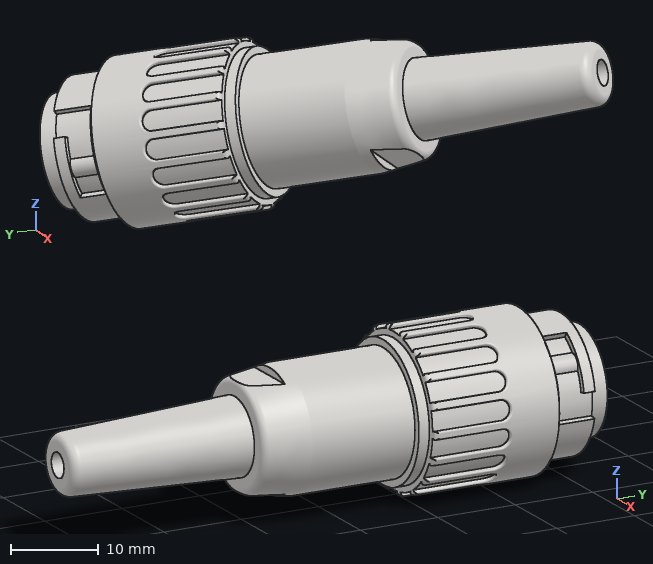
import cadquery as cq
import math

length = 67.4

plug_diameter = 13.5
plug_end = 2.5
bayonet_diameter = 17.0
bayonet_end = 7.95
collar_diameter = 20.0
collar_end = 24.05
collar_rim_fillet = 0.55
ring_diameter = 17.4
ring_end = 25.4
barrel_diameter = 15.5
barrel_end = 38.6
cap_end_diameter = 13.75
cap_end = 44.55
cap_fillet = 1.0
boot_base_diameter = 9.6
boot_tip_diameter = 7.55
boot_fillet = 1.2

flats_width = 13.15
flats_start = 40.05

cable_hole_diameter = 3.0
cable_hole_depth = 6.75

pocket_count = 18
pocket_first_angle = 2.0
pocket_start = 14.1
pocket_width = 2.4
pocket_floor_diameter = collar_diameter - 2 * collar_rim_fillet
pocket_edge_fillet = 0.2

slot_count = 2
slot_floor_diameter = 15.5
slot_track_start = 3.9
slot_track_end = 7.15
slot_upper_angle = -13.3
slot_entry_angle = 9.2
slot_lower_angle = 60.8

rib_diameter = 2.8
rib_center_radius = 6.8
rib_angle = 35.9


def cylinder(diameter, start, end):
    """Solid cylinder on the Y axis between two distances from the plug face."""
    base = cq.Workplane("XZ", origin=(0, -start, 0))
    return base.circle(diameter / 2).extrude(end - start)


def cone(start_diameter, end_diameter, start, end):
    """Solid tapered section on the Y axis between two distances from the plug face."""
    outline = [
        (0, -start),
        (start_diameter / 2, -start),
        (end_diameter / 2, -end),
        (0, -end),
    ]
    return cq.Workplane("XY").polyline(outline).close().revolve(360, (0, 0), (0, 1))


def make_collar():
    """Knurled collar with a rounded rim and grip pockets that run out through the rim."""
    collar = cylinder(collar_diameter, bayonet_end, collar_end).cut(make_pockets())
    collar = collar.newObject(pocket_top_edges(collar)).fillet(pocket_edge_fillet)
    rounded = cylinder(collar_diameter, bayonet_end, collar_end)
    return collar.intersect(rounded.faces("<Y").edges().fillet(collar_rim_fillet))


def pocket_top_edges(collar):
    """Edges where the pocket walls meet the outside of the collar, leaving out both end faces."""
    tolerance = 0.01
    top_edges = []
    for edge in collar.edges().vals():
        middle = edge.positionAt(0.5)
        on_outside = math.hypot(middle.x, middle.z) > collar_diameter / 2 - tolerance
        between_ends = bayonet_end + tolerance < -middle.y < collar_end - tolerance
        if on_outside and between_ends:
            top_edges.append(edge)
    return top_edges


def make_pockets():
    """Ring of round-ended pockets with a floor concentric with the collar."""
    half_width = pocket_width / 2
    arc_center = -(pocket_start + half_width)
    run_out = -(collar_end + pocket_width)
    outline = (
        cq.Workplane("XY")
        .moveTo(-half_width, run_out)
        .lineTo(-half_width, arc_center)
        .threePointArc((0, -pocket_start), (half_width, arc_center))
        .lineTo(half_width, run_out)
        .close()
    )
    pocket = outline.extrude(collar_diameter)
    pocket = pocket.cut(cylinder(pocket_floor_diameter, pocket_start, -run_out))
    pockets = cq.Workplane("XY")
    for index in range(pocket_count):
        angle = pocket_first_angle + index * 360 / pocket_count
        pockets = pockets.add(pocket.rotate((0, 0, 0), (0, 1, 0), angle))
    return pockets.combine()


def make_cap():
    """Tapered cap with a rounded end and two parallel wrench flats."""
    cap = cone(barrel_diameter, cap_end_diameter, barrel_end, cap_end)
    cap = cap.faces("<Y").edges().fillet(cap_fillet)
    flat_length = cap_end - flats_start
    between_flats = cq.Workplane("XY").box(barrel_diameter, flat_length, flats_width)
    between_flats = between_flats.translate((0, -(flats_start + cap_end) / 2, 0))
    full_section = cylinder(barrel_diameter, barrel_end, flats_start)
    return cap.intersect(full_section.union(between_flats))


def make_boot():
    """Tapered cable boot with a rounded tip and a blind cable hole."""
    boot = cone(boot_base_diameter, boot_tip_diameter, cap_end, length)
    boot = boot.faces("<Y").edges().fillet(boot_fillet)
    return boot.cut(cylinder(cable_hole_diameter, length - cable_hole_depth, length))


def ring_sector(first_angle, last_angle, start, end):
    """Part of the slot ring between two angles measured from -X towards -Z."""

    def point(angle, radius):
        turn = math.radians(angle)
        return (-radius * math.cos(turn), -radius * math.sin(turn))

    inner = slot_floor_diameter / 2
    outer = bayonet_diameter / 2
    middle_angle = (first_angle + last_angle) / 2
    return (
        cq.Workplane("XZ", origin=(0, -start, 0))
        .moveTo(*point(first_angle, inner))
        .threePointArc(point(middle_angle, inner), point(last_angle, inner))
        .lineTo(*point(last_angle, outer))
        .threePointArc(point(middle_angle, outer), point(first_angle, outer))
        .close()
        .extrude(end - start)
    )


def make_slot():
    """L-shaped slot: an axial entry, a track around the body and a rounded locking rib left standing."""
    entry = ring_sector(slot_upper_angle, slot_entry_angle, plug_end, slot_track_end)
    track = ring_sector(slot_upper_angle, slot_lower_angle, slot_track_start, slot_track_end)
    rib = cylinder(rib_diameter, slot_track_start, slot_track_end)
    rib = rib.translate((-rib_center_radius, 0, 0)).rotate((0, 0, 0), (0, 1, 0), -rib_angle)
    return entry.union(track).cut(rib)


def make_bayonet():
    """Bayonet body with its slots evenly spaced around the axis."""
    bayonet = cylinder(bayonet_diameter, plug_end, bayonet_end)
    for index in range(slot_count):
        bayonet = bayonet.cut(make_slot().rotate((0, 0, 0), (0, 1, 0), index * 360 / slot_count))
    return bayonet


result = (
    cylinder(plug_diameter, 0, plug_end)
    .union(make_bayonet())
    .union(make_collar())
    .union(cylinder(ring_diameter, collar_end, ring_end))
    .union(cylinder(barrel_diameter, ring_end, barrel_end))
    .union(make_cap())
    .union(make_boot())
)